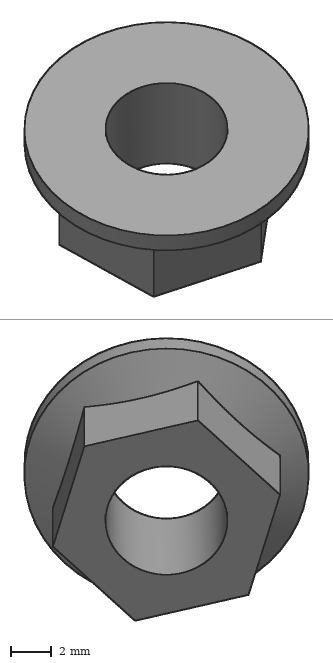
import cadquery as cq
import math

flange_diameter = 14.0
total_height = 6.0
rim_height = 1.1
cone_angle = 30.0
across_flats = 10.0
bore_diameter = 6.0

flange_radius = flange_diameter / 2
bore_radius = bore_diameter / 2
rim_bottom = total_height - rim_height
cone_depth = (flange_radius - bore_radius) * math.tan(math.radians(cone_angle))


def make_hex():
    """Hexagonal body with flats facing +X and -X and corners on the Y axis."""
    across_corners = across_flats / math.cos(math.radians(30))
    return (
        cq.Workplane("XY")
        .polygon(6, across_corners)
        .extrude(total_height)
        .rotate((0, 0, 0), (0, 0, 1), 30)
    )


def make_flange():
    """Round flange with a straight rim and a conical underside."""
    return (
        cq.Workplane("XZ")
        .moveTo(0, total_height)
        .lineTo(flange_radius, total_height)
        .lineTo(flange_radius, rim_bottom)
        .lineTo(bore_radius, rim_bottom - cone_depth)
        .lineTo(0, rim_bottom - cone_depth)
        .close()
        .revolve(360, (0, 0, 0), (0, 1, 0))
    )


bore = cq.Workplane("XY").circle(bore_radius).extrude(total_height)
result = make_hex().union(make_flange()).cut(bore)